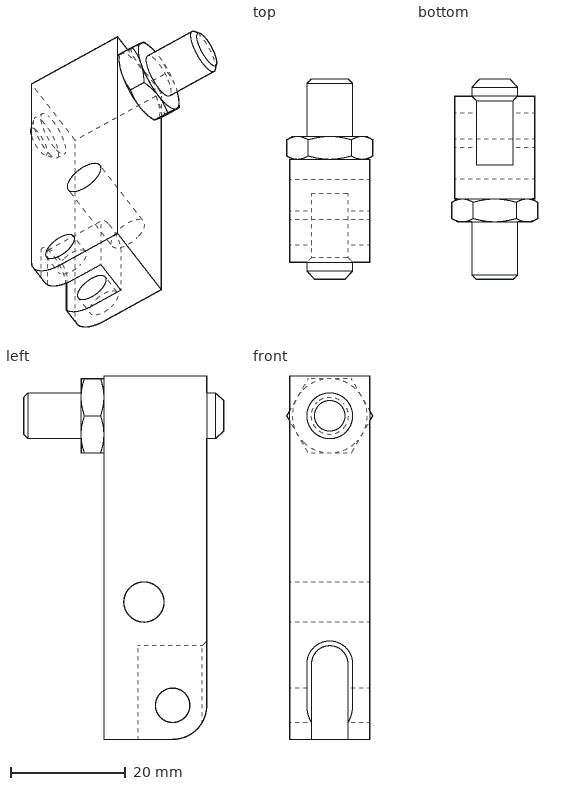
import cadquery as cq
import math

block_width = 14.0
block_depth = 18.0
block_height = 63.5
corner_radius = 6.0

pin_hole_diameter = 6.0
pivot_hole_diameter = 7.0
pivot_hole_setback = 11.0
pivot_hole_height = 24.0

slot_width = 6.35
slot_arc_height = 13.2
slot_depth = 12.0
slot_chamfer = 0.8

stud_diameter = 8.0
stud_height = block_height - 7.0
stud_front_length = 3.0
stud_back_length = 14.05
front_chamfer_length = 1.45
front_chamfer_inset = 1.35
back_chamfer = 0.75
nut_across_flats = 13.0
nut_thickness = 4.0
nut_chamfer_angle = 30.0


def make_block():
    """Rectangular bar with its lower front edge rounded."""
    bar = cq.Workplane("XY").box(
        block_width, block_depth, block_height, centered=(True, False, False)
    )
    return bar.edges("|X and <Y and <Z").fillet(corner_radius)


def make_cross_hole(setback, height, diameter):
    """Cutter through the full width of the block."""
    return (
        cq.Workplane("YZ")
        .center(setback, height)
        .circle(diameter / 2)
        .extrude(block_width, both=True)
    )


def make_slot():
    """Slot cutter with its mouth chamfered along the sides and the arc."""
    radius = slot_width / 2
    cavity_width = slot_width + 2 * slot_chamfer
    straight = (
        cq.Workplane("XY")
        .moveTo(-cavity_width / 2, 0)
        .lineTo(cavity_width / 2, 0)
        .lineTo(radius, slot_chamfer)
        .lineTo(radius, slot_depth)
        .lineTo(-radius, slot_depth)
        .lineTo(-radius, slot_chamfer)
        .close()
        .extrude(slot_arc_height)
    )
    round_top = (
        cq.Workplane("XY")
        .lineTo(cavity_width / 2, 0)
        .lineTo(radius, slot_chamfer)
        .lineTo(radius, slot_depth)
        .lineTo(0, slot_depth)
        .close()
        .revolve(360, (0, 0, 0), (0, 1, 0))
        .translate((0, 0, slot_arc_height))
    )
    return straight.union(round_top)


def make_stud():
    """Round stud through the block, with a chamfer at each end."""
    radius = stud_diameter / 2
    front = -stud_front_length
    back = block_depth + stud_back_length
    return (
        cq.Workplane("XY")
        .moveTo(0, front)
        .lineTo(radius - front_chamfer_inset, front)
        .lineTo(radius, front + front_chamfer_length)
        .lineTo(radius, back - back_chamfer)
        .lineTo(radius - back_chamfer, back)
        .lineTo(0, back)
        .close()
        .revolve(360, (0, 0, 0), (0, 1, 0))
        .translate((0, 0, stud_height))
    )


def make_nut():
    """Hexagonal nut with corners along X and conical chamfers on both faces."""
    flat_radius = nut_across_flats / 2
    corner_reach = flat_radius / math.cos(math.pi / 6)
    chamfer_length = (corner_reach - flat_radius) * math.tan(math.radians(nut_chamfer_angle))
    hexagon = (
        cq.Workplane("XZ")
        .polygon(6, 2 * corner_reach)
        .extrude(-nut_thickness)
    )
    chamfer_envelope = (
        cq.Workplane("XY")
        .lineTo(flat_radius, 0)
        .lineTo(corner_reach, chamfer_length)
        .lineTo(corner_reach, nut_thickness - chamfer_length)
        .lineTo(flat_radius, nut_thickness)
        .lineTo(0, nut_thickness)
        .close()
        .revolve(360, (0, 0, 0), (0, 1, 0))
    )
    return hexagon.intersect(chamfer_envelope).translate((0, block_depth, stud_height))


result = (
    make_block()
    .cut(make_slot())
    .cut(make_cross_hole(corner_radius, corner_radius, pin_hole_diameter))
    .cut(make_cross_hole(pivot_hole_setback, pivot_hole_height, pivot_hole_diameter))
    .union(make_stud())
    .union(make_nut())
)